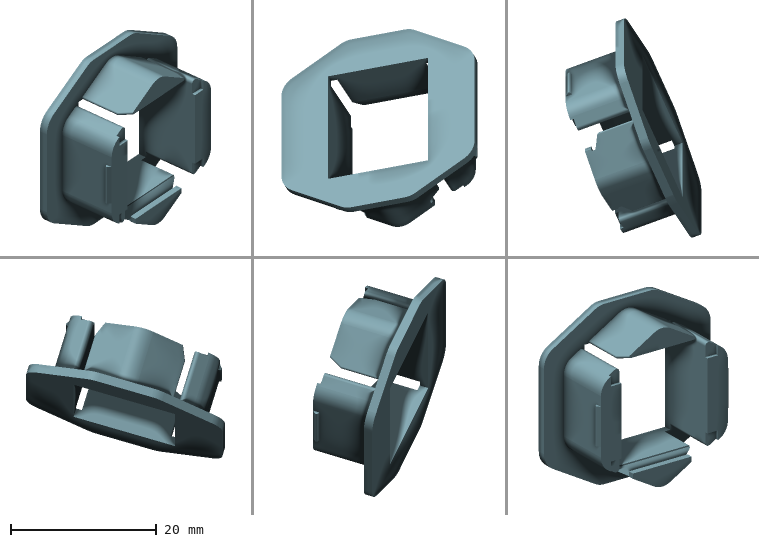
import cadquery as cq
import math

total_depth = 10.0
plate_thickness = 1.25
plate_half_width = 14.05
plate_half_height = 13.55
plate_flat_half_width = 4.7
plate_corner_radius = 3.0
slope = math.tan(math.radians(30))

opening_half_width = 7.25
opening_half_height = 8.25

skirt_half_width = 10.7
skirt_apex_height = 12.34
skirt_corner_radius = 2.7
tongue_end = 9.5
wall_edge_radius = 0.5
tongue_edge_radius = 0.22

corner_notch_half_width = 9.05
corner_notch_height = 5.65

lead_in_start = 7.53
lead_in_rise = 0.5

notch_start = 6.9
notch_step = 0.22
notch_depth = 1.35
catch_start = 8.57
catch_height = 8.68
catch_half_width = 4.95

hook_half_length = 3.0
hook_height = 0.42
hook_root_start = 9.05
hook_tip_start = 9.27
hook_tip_end = 9.5


def make_plate():
    shoulder_height = plate_half_height - slope * (plate_half_width - plate_flat_half_width)
    outline = [
        (plate_flat_half_width, plate_half_height),
        (plate_half_width, shoulder_height),
        (plate_half_width, -shoulder_height),
        (plate_flat_half_width, -plate_half_height),
        (-plate_flat_half_width, -plate_half_height),
        (-plate_half_width, -shoulder_height),
        (-plate_half_width, shoulder_height),
        (-plate_flat_half_width, plate_half_height),
    ]
    plate = cq.Workplane("YZ").polyline(outline).close().extrude(plate_thickness)
    plate = plate.edges("|X").fillet(plate_corner_radius)
    opening = cq.Workplane("YZ").rect(2 * opening_half_width, 2 * opening_half_height)
    return plate.cut(opening.extrude(plate_thickness))


def make_skirt_blank(end):
    """Solid rounded hexagon from the plate's outer face to X = end."""
    corner_height = skirt_apex_height - slope * skirt_half_width
    outline = [
        (0, skirt_apex_height),
        (skirt_half_width, corner_height),
        (skirt_half_width, -corner_height),
        (0, -skirt_apex_height),
        (-skirt_half_width, -corner_height),
        (-skirt_half_width, corner_height),
    ]
    blank = cq.Workplane("YZ").polyline(outline).close().extrude(end)
    blank = blank.edges("|X").fillet(skirt_corner_radius)
    return blank.intersect(box_between(plate_thickness, end, plate_half_width, -plate_half_height,
                                       plate_half_height))


def box_between(x_start, x_end, half_width, z_low, z_high):
    """Box centred on Y = 0."""
    return cq.Workplane("XY").box(
        x_end - x_start, 2 * half_width, z_high - z_low, centered=(False, True, False)
    ).translate((x_start, 0, z_low))


def side_profile(points, half_width):
    """Prism with an XZ outline, centred on Y = 0."""
    return cq.Workplane("XZ").polyline(points).close().extrude(half_width, both=True)


def make_side_wall():
    """Wall on the +Y side with its snap hook."""
    blank = make_skirt_blank(total_depth)
    inside = box_between(0, total_depth, opening_half_width, -plate_half_height, plate_half_height)
    wall = blank.cut(inside).solids(">Y")
    wall = cq.Workplane(wall.val())
    inner_edges = wall.faces("<Y").edges("|X")
    wall = inner_edges.fillet(wall_edge_radius)

    upper_notch = box_between(tongue_end, total_depth, corner_notch_half_width,
                              corner_notch_height, plate_half_height)
    wall = wall.cut(upper_notch).cut(upper_notch.mirror("XY"))

    hook_tip = skirt_half_width + hook_height
    hook_profile = [
        (hook_root_start, skirt_half_width),
        (hook_tip_start, hook_tip),
        (hook_tip_end, hook_tip),
        (total_depth, skirt_half_width),
        (total_depth, opening_half_width),
        (hook_root_start, opening_half_width),
    ]
    hook = cq.Workplane("XY").polyline(hook_profile).close().extrude(hook_half_length, both=True)
    return wall.union(hook)


def make_upper_tongue():
    lead_in_height = opening_half_height + lead_in_rise
    region = side_profile(
        [
            (plate_thickness, opening_half_height),
            (lead_in_start, opening_half_height),
            (tongue_end, lead_in_height),
            (tongue_end, plate_half_height),
            (plate_thickness, plate_half_height),
        ],
        plate_half_width,
    )
    tongue = make_skirt_blank(tongue_end).intersect(region)
    long_edges = tongue.faces("<Z").edges("|X")
    lead_in_edges = tongue.edges(cq.selectors.BoxSelector(
        (lead_in_start, -plate_half_width, opening_half_height),
        (tongue_end - tongue_edge_radius, plate_half_width, lead_in_height),
    )).edges("not |Y")
    return long_edges.add(lead_in_edges).fillet(tongue_edge_radius)


def make_lower_tongue():
    region = box_between(plate_thickness, tongue_end, plate_half_width, -plate_half_height,
                         -opening_half_height)
    blank = make_skirt_blank(tongue_end)
    tongue = blank.intersect(region)
    tongue = tongue.faces(">Z").edges("|X").fillet(tongue_edge_radius)

    notch_floor = -opening_half_height - notch_depth
    notch = side_profile(
        [
            (notch_start, -opening_half_height),
            (notch_start, -opening_half_height - notch_step),
            (notch_start + notch_depth - notch_step, notch_floor),
            (tongue_end, notch_floor),
            (tongue_end, -opening_half_height),
        ],
        plate_half_width,
    )
    catch = box_between(catch_start, tongue_end, catch_half_width, notch_floor, -catch_height)
    return tongue.cut(notch).union(catch.intersect(blank))


side_wall = make_side_wall()
result = (
    make_plate()
    .union(side_wall)
    .union(side_wall.mirror("XZ"))
    .union(make_upper_tongue())
    .union(make_lower_tongue())
)